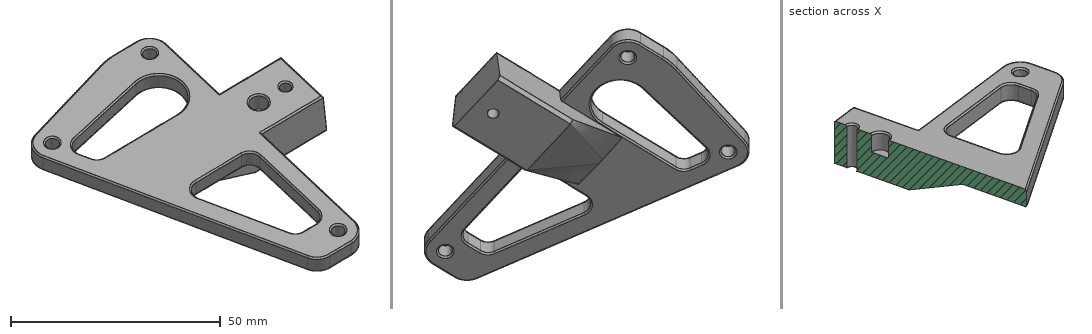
import cadquery as cq
import math


plate_length = 82.1
plate_thickness = 5.0
edge_chamfer = 0.4
corner_radius = 5.0
bend_radius = 16.65
bend_start_y = -11.8
right_side_end_y = -11.5
front_corner_x = 13.0
front_corner_y = -40.95
mount_hole_diameter = 3.4

window_radius = 3.0
left_window_top_radius = 7.0
left_window_right_x = 24.2
left_window_top_y = -12.0
left_window_bottom_x = 18.3
left_window_bottom_y = -35.3
right_window_left_x = 46.9
right_window_right_x = 69.0
right_window_top_y = -8.0
right_window_bottom_y = -21.8

stem_center_x = 33.5
stem_back_y = 18.7
stem_front_y = -2.95
stem_height = 11.9
stem_width = 18.8
stem_side_angle = 7.0
stem_bevel_width = 0.8
stem_bevel_height = 1.0
nose_tip_y = -19.8
nose_tip_z = -4.4
nose_tip_width = 0.2
small_hole_diameter = 2.8
small_hole_y = 13.6
blind_hole_diameter = 4.7
blind_hole_y = 5.5
blind_hole_depth = plate_thickness

corner_back_y = -corner_radius
corner_left_x = corner_radius
corner_right_x = plate_length - corner_radius

front_slope = (right_side_end_y - front_corner_y) / (corner_right_x - front_corner_x)


def belt(circles):
    """Outline of a belt pulled clockwise round circles given as (x, y, radius)."""
    normals = []
    for start, end in zip(circles, circles[1:] + circles[:1]):
        dx = end[0] - start[0]
        dy = end[1] - start[1]
        lean = math.asin((start[2] - end[2]) / math.hypot(dx, dy))
        normals.append(math.atan2(dy, dx) + math.pi / 2 - lean)

    def on_circle(circle, angle):
        x, y, radius = circle
        return (x + radius * math.cos(angle), y + radius * math.sin(angle))

    outline = cq.Workplane("XY").moveTo(*on_circle(circles[0], normals[0]))
    for i, arriving in enumerate(normals):
        following = (i + 1) % len(circles)
        circle = circles[following]
        turn = (arriving - normals[following]) % (2 * math.pi)
        outline = outline.lineTo(*on_circle(circle, arriving))
        outline = outline.threePointArc(
            on_circle(circle, arriving - turn / 2), on_circle(circle, arriving - turn)
        )
    return outline.close()


def make_plate():
    mount_holes = [
        (corner_left_x, corner_back_y),
        (corner_right_x, corner_back_y),
        (front_corner_x, front_corner_y),
    ]
    outer = belt([
        (corner_left_x, corner_back_y, corner_radius),
        (corner_right_x, corner_back_y, corner_radius),
        (corner_right_x, right_side_end_y, corner_radius),
        (front_corner_x, front_corner_y, corner_radius),
        (bend_radius, bend_start_y, bend_radius),
    ])
    bottom_right_x = left_window_right_x - window_radius
    bottom_right_y = left_window_bottom_y + front_slope * (bottom_right_x - left_window_bottom_x)
    left_window = belt([
        (left_window_right_x - left_window_top_radius, left_window_top_y, left_window_top_radius),
        (bottom_right_x, bottom_right_y, window_radius),
        (left_window_bottom_x, left_window_bottom_y, window_radius),
    ])
    right_end_y = right_window_bottom_y + front_slope * (right_window_right_x - right_window_left_x)
    right_window = belt([
        (right_window_left_x, right_window_top_y, window_radius),
        (right_window_right_x, right_window_top_y, window_radius),
        (right_window_right_x, right_end_y, window_radius),
        (right_window_left_x, right_window_bottom_y, window_radius),
    ])
    holes = cq.Workplane("XY").pushPoints(mount_holes).circle(mount_hole_diameter / 2)

    plate = outer.extrude(-plate_thickness)
    for opening in (left_window, right_window, holes):
        plate = plate.cut(opening.extrude(-plate_thickness))
    return plate.faces("<Z").edges().chamfer(edge_chamfer)


def stem_section(y, bottom_z, bottom_width, bevel_height):
    """Closed wire across the stem at y: leaning sides with bevelled bottom corners."""
    lean = math.tan(math.radians(stem_side_angle))
    bevel_z = bottom_z + bevel_height
    widest_z = stem_bevel_height - stem_height
    half_top = stem_width / 2 + widest_z * lean
    half_bevel = half_top - bevel_z * lean
    right_half = [(half_top, 0), (half_bevel, bevel_z), (bottom_width / 2, bottom_z)]
    left_half = [(-x, z) for x, z in reversed(right_half)]
    points = [cq.Vector(stem_center_x + x, y, z) for x, z in right_half + left_half]
    return cq.Wire.makePolygon(points, close=True)


def make_stem():
    """Straight stem, then a nose whose bottom ramps up and narrows into the plate."""
    bottom_width = stem_width - 2 * stem_bevel_width
    back = stem_section(stem_back_y, -stem_height, bottom_width, stem_bevel_height)
    front = stem_section(stem_front_y, -stem_height, bottom_width, stem_bevel_height)
    tip = stem_section(nose_tip_y, nose_tip_z, nose_tip_width, 0)
    stem = cq.Workplane(cq.Solid.makeLoft([back, front], True))
    nose = cq.Workplane(cq.Solid.makeLoft([front, tip], True))
    return stem, nose


def cut_stem_holes(body):
    small_hole = (
        cq.Workplane("XY")
        .center(stem_center_x, small_hole_y)
        .circle(small_hole_diameter / 2)
        .extrude(-stem_height)
    )
    blind_hole = (
        cq.Workplane("XY")
        .center(stem_center_x, blind_hole_y)
        .circle(blind_hole_diameter / 2)
        .extrude(-blind_hole_depth)
    )
    return body.cut(small_hole).cut(blind_hole)


stem, nose = make_stem()
body = make_plate().union(stem).union(nose)
body = cut_stem_holes(body)

result = body.faces(">Z").edges().chamfer(edge_chamfer)